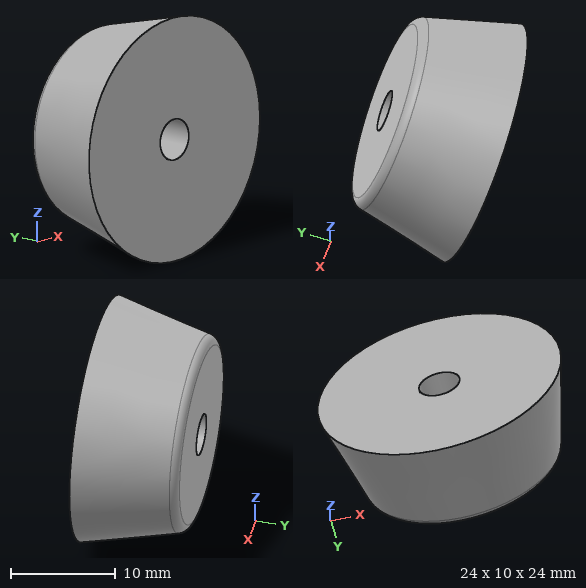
import cadquery as cq

base_diameter = 24.0
tip_diameter = 19.0
height = 10.0
hole_diameter = 4.0
tip_fillet = 1.0


def tapered_body():
    """Solid cone frustum, narrowing toward +Y, with a rounded tip edge."""
    half_profile = (
        cq.Workplane("XY")
        .lineTo(base_diameter / 2, 0)
        .lineTo(tip_diameter / 2, height)
        .lineTo(0, height)
        .close()
    )
    body = half_profile.revolve(360, (0, 0, 0), (0, 1, 0))
    return body.faces(">Y").edges().fillet(tip_fillet)


def through_hole():
    """Cylinder along the axis that passes through the full height."""
    return cq.Workplane("XZ").circle(hole_diameter / 2).extrude(-height)


result = tapered_body().cut(through_hole())